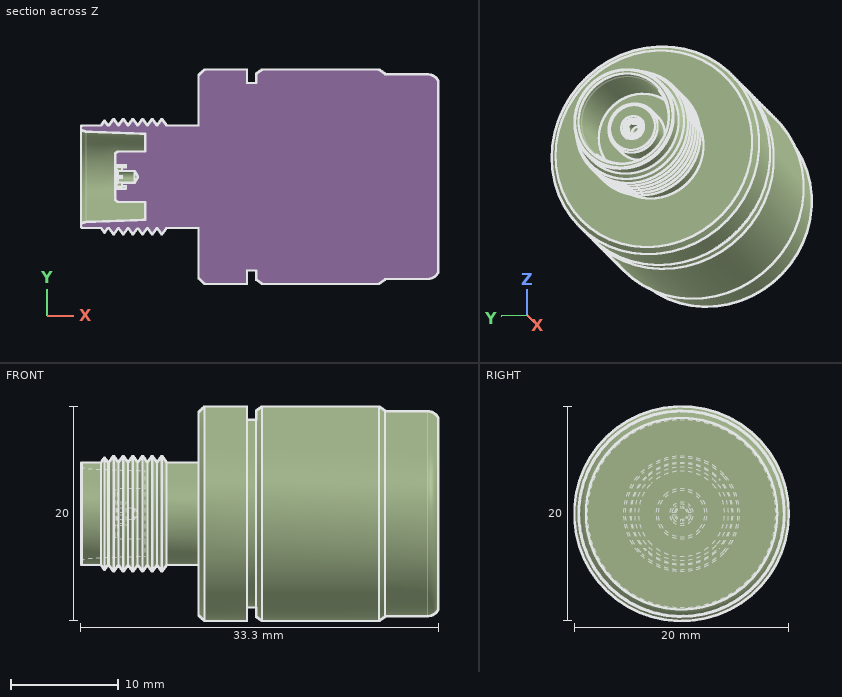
import cadquery as cq
import math

TOTAL_LENGTH = 33.3
LEFT_END = -TOTAL_LENGTH / 2
RIGHT_END = TOTAL_LENGTH / 2
BODY_RADIUS = 10.005

NECK_RADIUS = 4.8
NECK_LENGTH = 10.95
NECK_CHAMFER = 0.1
FIRST_FULL_RIDGE_START = 2.6
THREAD_PITCH = 0.9
THREAD_HEIGHT = 0.6
FULL_RIDGES = 6
LEAD_RIDGE_HEIGHT = 0.43
LEAD_RIDGE_WIDTH = 0.63
LEAD_CREST_OFFSET = 2.2
CREST_FLAT = 0.03

CHAMFER_LENGTH = 0.55
CHAMFER_DEPTH = 0.53
SLEEVE_CHAMFER_DEPTH = 0.4
COLLAR_LENGTH = 4.53
GROOVE_WIDTH = 0.83
GROOVE_RADIUS = 8.75
SLEEVE_LENGTH = 12.02
NOSE_RADIUS = 9.55
NOSE_ROUND_LENGTH = 1.0
NOSE_ROUND_DEPTH = 0.63

MOUTH_RADIUS = 4.35
MOUTH_DEPTH = 0.45
BORE_RADIUS = 4.2
BORE_FLOOR_RADIUS = 4.0
BORE_DEPTH = 6.0

POST_RADIUS = 2.35
POST_FACE_DEPTH = 3.2
POST_CHAMFER = 0.2

GAP_OUTER_RADIUS = 1.1
GAP_DEPTH = 1.0
CONTACT_RADIUS = 0.9
CONTACT_SETBACK = 0.13
CONTACT_HOLE_MOUTH_RADIUS = 0.65
CONTACT_HOLE_RADIUS = 0.53
CONTACT_HOLE_DEPTH = 1.65
DRILL_POINT_ANGLE = 118.0
SLOT_WIDTH = 0.2
SLOT_DEPTH = 0.5

SOCKET_FLOOR = LEFT_END + BORE_DEPTH
POST_FACE = LEFT_END + POST_FACE_DEPTH
CONTACT_TIP = POST_FACE + CONTACT_SETBACK
GAP_FLOOR = POST_FACE + GAP_DEPTH


def revolve_profile(profile):
    """Turn a closed profile of (x, radius) points about the X axis."""
    return profile.close().revolve(360, (0, 0, 0), (1, 0, 0))


def turned(points):
    """Turn a straight-sided profile about the X axis."""
    return revolve_profile(cq.Workplane("XY").polyline(points))


def outer_body():
    collar_start = LEFT_END + NECK_LENGTH
    collar_end = collar_start + COLLAR_LENGTH
    sleeve_start = collar_end + GROOVE_WIDTH
    sleeve_end = sleeve_start + SLEEVE_LENGTH
    round_start = RIGHT_END - NOSE_ROUND_LENGTH
    sleeve_edge_radius = BODY_RADIUS - SLEEVE_CHAMFER_DEPTH
    profile = (
        cq.Workplane("XY")
        .moveTo(LEFT_END, 0)
        .lineTo(LEFT_END, NECK_RADIUS - NECK_CHAMFER)
        .lineTo(LEFT_END + NECK_CHAMFER, NECK_RADIUS)
        .lineTo(collar_start, NECK_RADIUS)
        .lineTo(collar_start, BODY_RADIUS - CHAMFER_DEPTH)
        .lineTo(collar_start + CHAMFER_LENGTH, BODY_RADIUS)
        .lineTo(collar_end, BODY_RADIUS)
        .lineTo(collar_end, GROOVE_RADIUS)
        .lineTo(sleeve_start, GROOVE_RADIUS)
        .lineTo(sleeve_start, sleeve_edge_radius)
        .lineTo(sleeve_start + CHAMFER_LENGTH, BODY_RADIUS)
        .lineTo(sleeve_end - CHAMFER_LENGTH, BODY_RADIUS)
        .lineTo(sleeve_end, sleeve_edge_radius)
        .lineTo(sleeve_end, NOSE_RADIUS)
        .lineTo(round_start, NOSE_RADIUS)
        .tangentArcPoint((RIGHT_END, NOSE_RADIUS - NOSE_ROUND_DEPTH), relative=False)
        .lineTo(RIGHT_END, 0)
    )
    return revolve_profile(profile)


def thread_ridge(crest_x, height, width):
    """Ring with a triangular section, rooted slightly inside the neck wall."""
    crest_radius = NECK_RADIUS + height
    inner_radius = (NECK_RADIUS + BORE_RADIUS) / 2
    return turned([
        (crest_x - width / 2, inner_radius),
        (crest_x - width / 2, NECK_RADIUS),
        (crest_x - CREST_FLAT / 2, crest_radius),
        (crest_x + CREST_FLAT / 2, crest_radius),
        (crest_x + width / 2, NECK_RADIUS),
        (crest_x + width / 2, inner_radius),
    ])


def socket():
    return turned([
        (LEFT_END, 0),
        (LEFT_END, MOUTH_RADIUS),
        (LEFT_END + MOUTH_DEPTH, BORE_RADIUS),
        (SOCKET_FLOOR, BORE_FLOOR_RADIUS),
        (SOCKET_FLOOR, 0),
    ])


def post_and_contact():
    """Post and contact turned as one piece, with the gap left between them."""
    return turned([
        (SOCKET_FLOOR, 0),
        (SOCKET_FLOOR, POST_RADIUS),
        (POST_FACE + POST_CHAMFER, POST_RADIUS),
        (POST_FACE, POST_RADIUS - POST_CHAMFER),
        (POST_FACE, GAP_OUTER_RADIUS),
        (GAP_FLOOR, GAP_OUTER_RADIUS),
        (GAP_FLOOR, CONTACT_RADIUS),
        (CONTACT_TIP, CONTACT_RADIUS),
        (CONTACT_TIP, 0),
    ])


def contact_hole():
    mouth_depth = CONTACT_HOLE_MOUTH_RADIUS - CONTACT_HOLE_RADIUS
    point_length = CONTACT_HOLE_RADIUS / math.tan(math.radians(DRILL_POINT_ANGLE / 2))
    drill_shoulder = CONTACT_TIP + CONTACT_HOLE_DEPTH
    return turned([
        (CONTACT_TIP, 0),
        (CONTACT_TIP, CONTACT_HOLE_MOUTH_RADIUS),
        (CONTACT_TIP + mouth_depth, CONTACT_HOLE_RADIUS),
        (drill_shoulder, CONTACT_HOLE_RADIUS),
        (drill_shoulder + point_length, 0),
    ])


def contact_slots():
    """Two crossed slots that split the contact tip into four fingers."""
    across = 2 * CONTACT_RADIUS
    centre = (CONTACT_TIP + SLOT_DEPTH / 2, 0, 0)
    flat_slot = cq.Workplane("XY").box(SLOT_DEPTH, across, SLOT_WIDTH)
    upright_slot = cq.Workplane("XY").box(SLOT_DEPTH, SLOT_WIDTH, across)
    return flat_slot.union(upright_slot).translate(centre)


result = outer_body()
lead_crest = LEFT_END + LEAD_CREST_OFFSET
result = result.union(thread_ridge(lead_crest, LEAD_RIDGE_HEIGHT, LEAD_RIDGE_WIDTH))
for ridge in range(FULL_RIDGES):
    crest = LEFT_END + FIRST_FULL_RIDGE_START + (ridge + 0.5) * THREAD_PITCH
    result = result.union(thread_ridge(crest, THREAD_HEIGHT, THREAD_PITCH))

result = result.cut(socket()).union(post_and_contact())
result = result.cut(contact_hole()).cut(contact_slots())